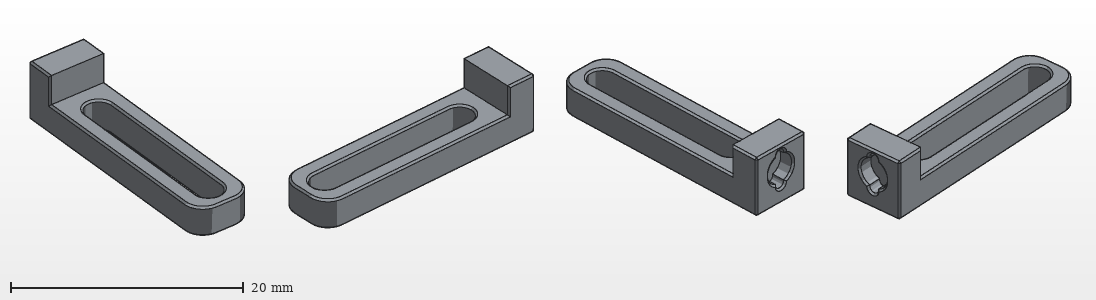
import cadquery as cq

length = 24.0
width = 6.0
height = 6.0
arm_height = height / 2
head_length = width / 2
end_radius = 2.0
edge_chamfer = 0.2

slot_width = 2.7
slot_start = 4.63
slot_end = 22.85

bore_radius = 1.5
bore_depth = 1.5
bore_height = 3.5
key_radius = 0.5
key_offset = 1.5


def make_body():
    """L-shaped bar with a rounded arm end and broken outer edges."""
    body = (
        cq.Workplane("XZ", origin=(0, width / 2, 0))
        .polyline([
            (0, 0),
            (length, 0),
            (length, arm_height),
            (head_length, arm_height),
            (head_length, height),
            (0, height),
        ])
        .close()
        .extrude(width)
    )
    body = body.edges("|Z and >X").fillet(end_radius)

    step_zone = cq.selectors.BoxSelector(
        (head_length - edge_chamfer, -width, arm_height - edge_chamfer),
        (head_length + edge_chamfer, width, height + edge_chamfer),
    )
    step_edges = body.edges("|Y").edges(step_zone)
    end_seams = body.edges("|Z").edges(cq.selectors.BoxSelector(
        (length - 2 * end_radius, -width, 0),
        (length + edge_chamfer, width, height),
    ))
    kept_edges = step_edges.vals() + end_seams.vals()
    outer_edges = body.edges().filter(lambda edge: not any(edge.isSame(kept) for kept in kept_edges))
    return outer_edges.chamfer(edge_chamfer)


def make_slot_cutter():
    """Slot prism that widens at the upper arm face."""
    slot_centre = (slot_start + slot_end) / 2
    slot_length = slot_end - slot_start
    slot = cq.Workplane("XY").center(slot_centre, 0).slot2D(slot_length, slot_width).extrude(arm_height)
    rim = (
        cq.Workplane("XY", origin=(slot_centre, 0, arm_height))
        .slot2D(slot_length + 2 * edge_chamfer, slot_width + 2 * edge_chamfer)
        .extrude(-edge_chamfer, taper=45)
    )
    return slot.union(rim)


def make_bore_cutter():
    """Round bore with key lobes above and below, flared at the head face."""
    face = cq.Workplane("YZ", origin=(0, 0, bore_height))
    cutter = face.circle(bore_radius).extrude(bore_depth)
    lobes = face.pushPoints([(0, key_offset), (0, -key_offset)]).circle(key_radius).extrude(bore_depth)
    cutter = cutter.union(lobes)
    for offset, radius in ((0, bore_radius), (key_offset, key_radius), (-key_offset, key_radius)):
        flare = (
            face.center(0, offset)
            .circle(radius + edge_chamfer)
            .workplane(offset=edge_chamfer)
            .circle(radius)
            .loft()
        )
        cutter = cutter.union(flare)
    return cutter


result = make_body().cut(make_slot_cutter()).cut(make_bore_cutter())